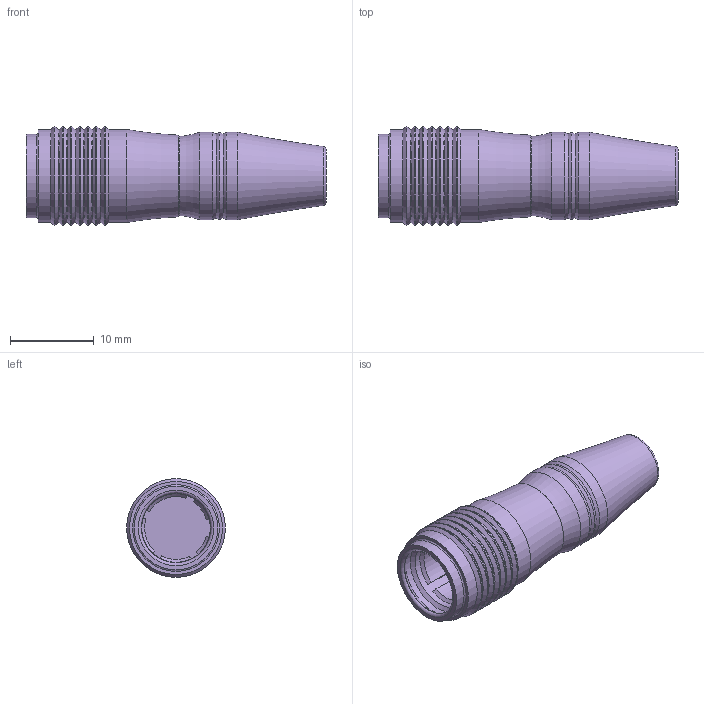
import cadquery as cq
total_length = 35.8

collar_radius = 5.0
collar_length = 1.45
collar_fillet = 0.18

body_radius = 5.55
body_end = 12.0
ring_count = 7
ring_pitch = 1.0
ring_start = 2.95
ring_crest_radius = 5.9
ring_base_width = 0.9
ring_crest_width = 0.1

waist_end = 18.2
waist_radius = 4.87
waist_sag = 0.1
parting_width = 0.12
parting_radius = 4.71

flare_end = 20.75
flare_sag = 0.08
band_radius = 5.22
band_end = 25.28
v_groove_start = 22.27
v_groove_count = 2
v_groove_lead = 0.43
v_groove_width = 0.82
v_groove_radius = 5.03

tip_round = 0.35
nose_radius = 3.52
tip_radius = 3.22
nose_sag = 0.08

mouth_radius = 4.5
lip_radius = 4.15
lip_land_end = 0.4
relief_radius = 4.5
relief_start = 0.9
relief_end = 1.7
bore_radius = 4.1
rib_start = 2.9
rib_radius = 3.75
socket_depth = 12.0

narrow_keyway = 1.0
wide_keyway = 2.0
keyways = [
    (0, wide_keyway),
    (64, narrow_keyway),
    (156, narrow_keyway),
    (-125, narrow_keyway),
    (-57, narrow_keyway),
]


def turn(profile):
    """Revolve a closed half profile, drawn on the -Y side, about the X axis."""
    return profile.close().revolve(360, (0, 0, 0), (1, 0, 0))


def sagged_arc(profile, start, end, sag):
    """Add a concave arc whose middle lies `sag` closer to the axis than its chord."""
    middle_x = (start[0] + end[0]) / 2
    middle_radius = (start[1] + end[1]) / 2 - sag
    return profile.threePointArc((middle_x, -middle_radius), (end[0], -end[1]))


def add_grip_rings(profile):
    flank = (ring_base_width - ring_crest_width) / 2
    for index in range(ring_count):
        start = ring_start + index * ring_pitch
        profile = (
            profile.lineTo(start, -body_radius)
            .lineTo(start + flank, -ring_crest_radius)
            .lineTo(start + flank + ring_crest_width, -ring_crest_radius)
            .lineTo(start + ring_base_width, -body_radius)
        )
    return profile


def add_v_grooves(profile):
    profile = profile.lineTo(v_groove_start, -band_radius)
    for index in range(v_groove_count):
        start = v_groove_start + index * v_groove_width
        profile = profile.lineTo(start + v_groove_lead, -v_groove_radius)
        profile = profile.lineTo(start + v_groove_width, -band_radius)
    return profile


def make_outer_body():
    parting_end = waist_end + parting_width
    tip_start = total_length - tip_round
    profile = (
        cq.Workplane("XY")
        .lineTo(0, -collar_radius)
        .lineTo(collar_length - collar_fillet, -collar_radius)
        .radiusArc((collar_length, -collar_radius - collar_fillet), collar_fillet)
        .lineTo(collar_length, -body_radius)
    )
    profile = add_grip_rings(profile).lineTo(body_end, -body_radius)
    profile = sagged_arc(profile, (body_end, body_radius), (waist_end, waist_radius), waist_sag)
    profile = profile.lineTo(waist_end, -parting_radius).lineTo(parting_end, -parting_radius)
    profile = sagged_arc(profile, (parting_end, parting_radius), (flare_end, band_radius), flare_sag)
    profile = add_v_grooves(profile).lineTo(band_end, -band_radius)
    profile = sagged_arc(profile, (band_end, band_radius), (tip_start, nose_radius), nose_sag)
    profile = profile.radiusArc((total_length, -tip_radius), -tip_round).lineTo(total_length, 0)
    return turn(profile)


def make_socket():
    lip_round = mouth_radius - lip_radius
    bore_start = relief_end + relief_radius - bore_radius
    profile = (
        cq.Workplane("XY")
        .lineTo(0, -mouth_radius)
        .radiusArc((lip_round, -lip_radius), lip_round)
        .lineTo(lip_land_end, -lip_radius)
        .lineTo(relief_start, -relief_radius)
        .lineTo(relief_end, -relief_radius)
        .lineTo(bore_start, -bore_radius)
        .lineTo(socket_depth, -bore_radius)
        .lineTo(socket_depth, 0)
    )
    return turn(profile)


def make_ribs():
    length = socket_depth - rib_start
    ribs = turn(
        cq.Workplane("XY")
        .moveTo(rib_start, -bore_radius)
        .lineTo(rib_start + bore_radius - rib_radius, -rib_radius)
        .lineTo(socket_depth, -rib_radius)
        .lineTo(socket_depth, -bore_radius)
    )
    for angle, width in keyways:
        keyway = cq.Workplane("XY").box(length, bore_radius * 2, width, centered=(False, False, True))
        keyway = keyway.translate((rib_start, -bore_radius * 2, 0))
        ribs = ribs.cut(keyway.rotate((0, 0, 0), (1, 0, 0), -angle))
    return ribs


socket = make_socket().cut(make_ribs())
result = make_outer_body().cut(socket)